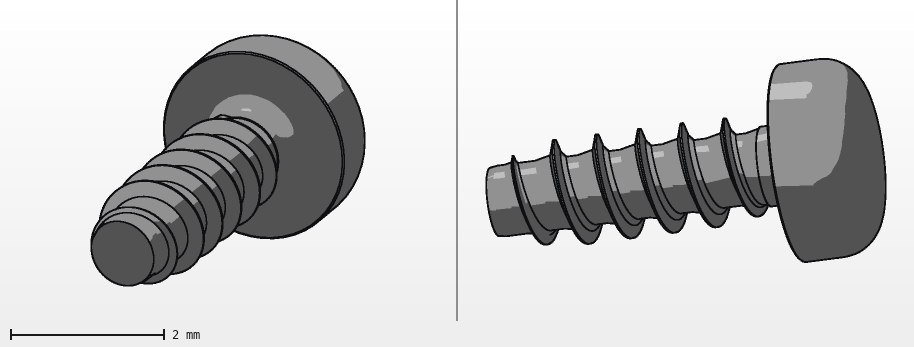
import cadquery as cq
import math

total_length = 5.05

head_radius = 1.3005
head_height = 1.05
dome_radius = 0.52
rim_chamfer = 0.02

neck_radius = 0.525
neck_fillet = 0.195
neck_end_y = -0.345
neck_step_radius = 0.51
core_radius = 0.465
core_start_y = -0.545
tip_radius = 0.45
tip_taper_length = 0.1
tip_point = 0.015
tip_y = head_height - total_length
shank_end_y = tip_y + tip_point

pitch = 0.57
thread_start_y = -0.29
full_from_turn = 1.0
full_to_turn = 5.0
last_turn = 6.3
start_scale = 0.5
fade_per_turn = 0.64
curve_steps = 16
crest_radius = 0.7
crest_half_width = 0.0125
foot_radius = 0.405

ridge_corners = [
    (-0.18, foot_radius),
    (-0.065, 0.54),
    (-crest_half_width, crest_radius),
    (crest_half_width, crest_radius),
    (0.08, 0.51),
    (0.315, 0.46),
    (0.315, foot_radius),
]


def make_body():
    """Head, neck and core as one revolved solid."""
    arc_share = math.sqrt(0.5)
    dome_centre_radius = head_radius - dome_radius
    dome_base_y = head_height - dome_radius
    fillet_centre_radius = neck_radius + neck_fillet
    profile = (
        cq.Workplane("XY")
        .moveTo(0, head_height)
        .lineTo(dome_centre_radius, head_height)
        .threePointArc(
            (dome_centre_radius + dome_radius * arc_share, dome_base_y + dome_radius * arc_share),
            (head_radius, dome_base_y),
        )
        .lineTo(head_radius, rim_chamfer)
        .lineTo(head_radius - rim_chamfer, 0)
        .lineTo(fillet_centre_radius, 0)
        .threePointArc(
            (fillet_centre_radius - neck_fillet * arc_share, -neck_fillet * (1 - arc_share)),
            (neck_radius, -neck_fillet),
        )
        .lineTo(neck_radius, neck_end_y)
        .lineTo(neck_step_radius, neck_end_y)
        .lineTo(core_radius, core_start_y)
        .lineTo(core_radius, shank_end_y + tip_taper_length)
        .lineTo(tip_radius, shank_end_y)
        .lineTo(0, tip_y)
        .close()
    )
    return profile.revolve(360, (0, 0, 0), (0, 1, 0))


def ridge_scale(turn):
    """Size of the ridge at a turn, growing in at the neck and fading out at the tip."""
    if turn < full_from_turn:
        return start_scale + (1 - start_scale) * turn / full_from_turn
    if turn > full_to_turn:
        return 1 - fade_per_turn * (turn - full_to_turn)
    return 1.0


def ridge_point(corner, turn):
    """Position of one ridge corner after the given number of turns."""
    offset, radius = corner
    scale = ridge_scale(turn)
    radius = core_radius + scale * (radius - core_radius)
    angle = 2 * math.pi * turn
    y = thread_start_y - pitch * turn - scale * offset
    return cq.Vector(-radius * math.sin(angle), y, radius * math.cos(angle))


def make_ridge_piece(first, last):
    """Helical ridge between two turns, bounded by ruled faces between its corner curves."""
    turns = [first + (last - first) * i / curve_steps for i in range(curve_steps + 1)]
    curves = [cq.Edge.makeSpline([ridge_point(c, t) for t in turns]) for c in ridge_corners]
    faces = [
        cq.Face.makeRuledSurface(curve, following)
        for curve, following in zip(curves, curves[1:] + curves[:1])
    ]
    for turn in (first, last):
        corners = [ridge_point(c, turn) for c in ridge_corners]
        faces.append(cq.Face.makeFromWires(cq.Wire.makePolygon(corners, close=True)))
    return cq.Solid.makeSolid(cq.Shell.makeShell(faces)).fix()


screw = make_body()
piece_starts = range(int(last_turn))
piece_ends = [*piece_starts[1:], last_turn]
for piece_start, piece_end in zip(piece_starts, piece_ends):
    screw = screw.union(cq.Workplane(obj=make_ridge_piece(piece_start, piece_end)))

neck_clearance = (
    cq.Workplane("XZ", origin=(0, -neck_fillet, 0))
    .circle(crest_radius)
    .circle(neck_radius)
    .extrude(-neck_fillet - neck_end_y)
)
result = screw.cut(neck_clearance)